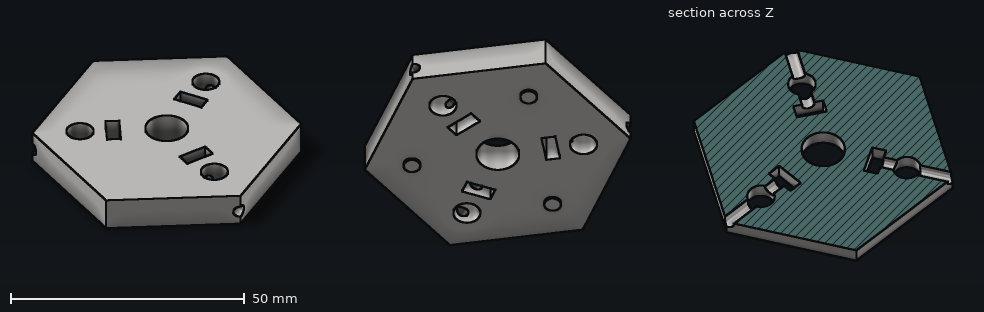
import cadquery as cq
import math

across_flats = 50.0
across_corners = across_flats / math.cos(math.radians(30))
plate_thickness = 7.5
center_bore_diameter = 9.2

repeat_angle = 120.0
copies = 3
hole_circle_radius = 18.6
screw_head_hole_diameter = 5.8
nut_slot_radius = 11.5
nut_slot_thickness = 3.0
nut_slot_length = 6.5
screw_diameter = 2.7
screw_axis_height = 3.25

foot_height = 0.5
foot_diameter = 3.6
foot_start_angle = repeat_angle / 2


def repeat_around_axis(shape, start_angle=0.0):
    """Join equally spaced copies of a shape around the Z axis."""
    pattern = cq.Workplane("XY")
    for index in range(copies):
        angle = start_angle + index * repeat_angle
        pattern = pattern.add(shape.rotate((0, 0, 0), (0, 0, 1), angle))
    return pattern.combine()


def make_plate():
    """Hexagon with corners on the X axis and a bore through its center."""
    plate = cq.Workplane("XY").polygon(6, across_corners).extrude(plate_thickness)
    return plate.faces(">Z").workplane().hole(center_bore_diameter)


def make_screw_station():
    """Vertical head hole and nut slot, joined by a radial screw hole from the corner."""
    head_hole = (
        cq.Workplane("XY")
        .center(hole_circle_radius, 0)
        .circle(screw_head_hole_diameter / 2)
        .extrude(plate_thickness)
    )
    nut_slot = (
        cq.Workplane("XY")
        .center(nut_slot_radius, 0)
        .rect(nut_slot_thickness, nut_slot_length)
        .extrude(plate_thickness)
    )
    screw_hole = (
        cq.Workplane("YZ", origin=(nut_slot_radius, 0, screw_axis_height))
        .circle(screw_diameter / 2)
        .extrude(across_corners / 2 - nut_slot_radius)
    )
    return head_hole.union(nut_slot).union(screw_hole)


def make_foot():
    """Low round boss under the plate."""
    return (
        cq.Workplane("XY", origin=(hole_circle_radius, 0, -foot_height))
        .circle(foot_diameter / 2)
        .extrude(foot_height)
    )


screw_stations = repeat_around_axis(make_screw_station())
feet = repeat_around_axis(make_foot(), foot_start_angle)
result = make_plate().cut(screw_stations).union(feet)